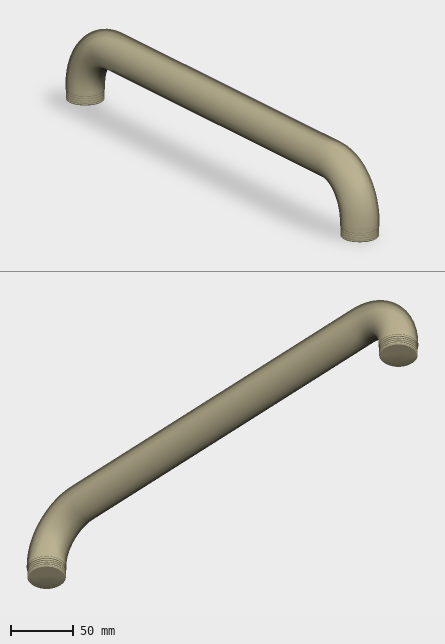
import cadquery as cq

LENGTH = 438.0
HEIGHT = 69.5
TUBE_DIAMETER = 32.0
BEND_RADIUS = 41.0
FOOT_HEIGHT = 9.5
FOOT_DIAMETER = 31.0
GROOVE_COUNT = 4
GROOVE_DEPTH = 1.0
GROOVE_WIDTH = 1.0
FOOT_CHAMFER = 1.0

LEG_X = (LENGTH - TUBE_DIAMETER) / 2
BAR_Z = HEIGHT - TUBE_DIAMETER / 2
BEND_START_Z = BAR_Z - BEND_RADIUS
BAR_END_X = LEG_X - BEND_RADIUS
BEND_MID_OFFSET = BEND_RADIUS * 0.5**0.5
GROOVE_PITCH = FOOT_HEIGHT / (GROOVE_COUNT + 1)


def make_handle():
    """Round bar with a quarter bend and a short straight leg at each end."""
    path = (
        cq.Workplane("XZ")
        .moveTo(-LEG_X, FOOT_HEIGHT)
        .lineTo(-LEG_X, BEND_START_Z)
        .threePointArc(
            (-BAR_END_X - BEND_MID_OFFSET, BEND_START_Z + BEND_MID_OFFSET),
            (-BAR_END_X, BAR_Z),
        )
        .lineTo(BAR_END_X, BAR_Z)
        .threePointArc(
            (BAR_END_X + BEND_MID_OFFSET, BEND_START_Z + BEND_MID_OFFSET),
            (LEG_X, BEND_START_Z),
        )
        .lineTo(LEG_X, FOOT_HEIGHT)
    )
    return (
        cq.Workplane("XY", origin=(-LEG_X, 0, FOOT_HEIGHT))
        .circle(TUBE_DIAMETER / 2)
        .sweep(path)
    )


def make_foot(x):
    """Round foot below one leg, with evenly spaced side grooves and a chamfered base."""
    foot = cq.Workplane("XY", origin=(x, 0, 0)).circle(FOOT_DIAMETER / 2).extrude(FOOT_HEIGHT)
    for index in range(GROOVE_COUNT):
        groove_z = (index + 1) * GROOVE_PITCH - GROOVE_WIDTH / 2
        groove = (
            cq.Workplane("XY", origin=(x, 0, groove_z))
            .circle(FOOT_DIAMETER / 2)
            .circle(FOOT_DIAMETER / 2 - GROOVE_DEPTH)
            .extrude(GROOVE_WIDTH)
        )
        foot = foot.cut(groove)
    return foot.faces("<Z").edges().chamfer(FOOT_CHAMFER)


handle = make_handle()
feet = [make_foot(x) for x in (-LEG_X, LEG_X)]

result = cq.Compound.makeCompound([handle.val(), *[foot.val() for foot in feet]])